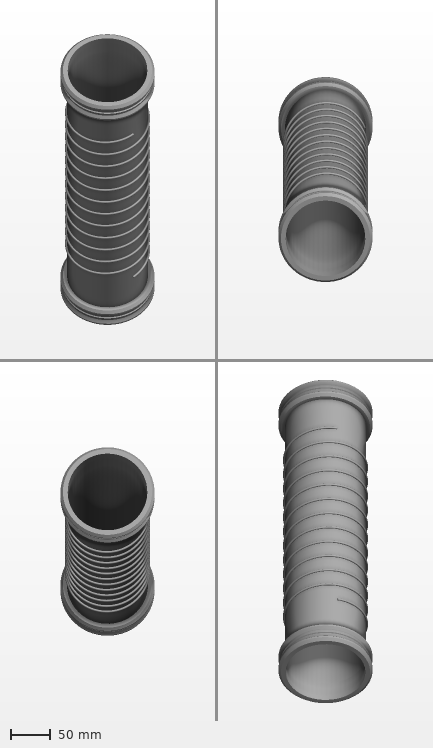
import cadquery as cq

total_length = 459.0
bore_diameter = 100.0
bore_radius = bore_diameter / 2

collar_height = 29.5
collar_diameter = 118.5
groove_diameter = 112.0
bead_diameter = 114.5
flange_height = 9.0
flange_land = 2.5
bead_height = 1.5

tube_diameter = 102.0
tube_radius = tube_diameter / 2
tube_length = total_length - 2 * collar_height
rib_diameter = 107.0
rib_section_diameter = 2.8
rib_pitch = 25.0
rib_turns = 12
rib_length = rib_pitch * rib_turns


def make_collar(base_z):
    """Ring with two bevelled flanges and a pointed bead midway between them."""
    crest_radius = collar_diameter / 2
    groove_radius = groove_diameter / 2
    bead_radius = bead_diameter / 2
    bevel_height = (flange_height - flange_land) / 2
    middle = collar_height / 2

    lower_half = [
        (groove_radius, 0),
        (crest_radius, bevel_height),
        (crest_radius, bevel_height + flange_land),
        (groove_radius, flange_height),
        (groove_radius, middle - bead_height / 2),
    ]
    upper_half = [(radius, collar_height - z) for radius, z in reversed(lower_half)]
    outline = [(bore_radius, 0), *lower_half, (bead_radius, middle), *upper_half, (bore_radius, collar_height)]
    ring = cq.Workplane("XZ").polyline(outline).close().revolve(360, (0, 0), (0, 1))
    return ring.translate((0, 0, base_z))


def make_spiral_rib():
    """Right-handed round-section rib, centred on the tube length and starting at +X."""
    start_z = (total_length - rib_length) / 2
    centre_radius = (rib_diameter - rib_section_diameter) / 2
    path = cq.Wire.makeHelix(rib_pitch, rib_length, centre_radius)
    rib = (
        cq.Workplane("XZ")
        .center(centre_radius, 0)
        .circle(rib_section_diameter / 2)
        .sweep(cq.Workplane(path), isFrenet=True)
    )
    return rib.translate((0, 0, start_z))


def make_tube():
    """Thin tube between the collars, with the spiral rib raised on its outside."""
    pipe = (
        cq.Workplane("XY", origin=(0, 0, collar_height))
        .circle(tube_radius)
        .circle(bore_radius)
        .extrude(tube_length)
    )
    return pipe.union(make_spiral_rib()).solids()


tube = make_tube()
collars = [make_collar(base_z) for base_z in (0, total_length - collar_height)]

result = cq.Compound.makeCompound([tube.val(), *[collar.val() for collar in collars]])